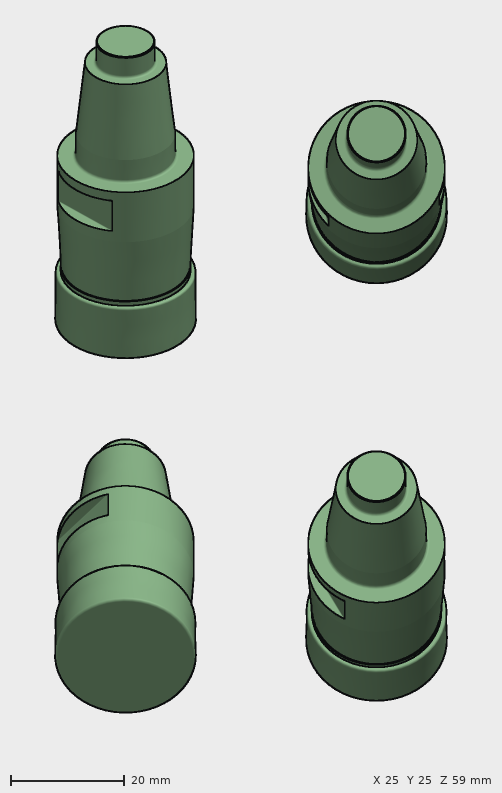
import cadquery as cq

total_height = 59.0

collar_base_radius = 12.48
collar_top_radius = 12.4
collar_height = 10.7
collar_base_rounding = 0.55
collar_top_rounding = 0.4
neck_radius = 11.5
seam_height = 11.55

seam_chamfer = 0.15
skirt_base_radius = 11.45
band_radius = 24.2 / 2
band_base_height = 24.5
band_top_height = 35.0
sleeve_base_radius = 8.85
sleeve_top_radius = 8.8
sleeve_top_height = 39.65
cone_top_radius = 7.2
cone_top_height = 54.6
tip_radius = 10.4 / 2
tip_chamfer = 0.2
step_fillet = 0.55

flat_distance = 10.0
flat_base_height = 26.65
flat_top_height = 33.05
flat_corner_fillet = 0.2


def make_collar():
    profile = (
        cq.Workplane("XZ")
        .moveTo(0, 0)
        .lineTo(collar_base_radius, 0)
        .lineTo(collar_top_radius, collar_height)
        .lineTo(neck_radius, collar_height)
        .lineTo(neck_radius, seam_height)
        .lineTo(0, seam_height)
        .close()
    )
    collar = profile.revolve(360, (0, 0, 0), (0, 1, 0))
    top_rim = cq.selectors.RadiusNthSelector(-2)
    collar = collar.edges("%CIRCLE").edges(top_rim).fillet(collar_top_rounding)
    return collar.faces("<Z").edges().fillet(collar_base_rounding)


def concave_fillet(profile, radius, height):
    """Draw the concave arc from a step face up to the wall of the given radius."""
    return profile.lineTo(radius + step_fillet, height).radiusArc(
        (radius, height + step_fillet), step_fillet
    )


def make_shank_blank():
    profile = (
        cq.Workplane("XZ")
        .moveTo(0, seam_height)
        .lineTo(skirt_base_radius - seam_chamfer, seam_height)
        .lineTo(skirt_base_radius, seam_height + seam_chamfer)
        .lineTo(band_radius, band_base_height)
        .lineTo(band_radius, band_top_height)
    )
    profile = concave_fillet(profile, sleeve_base_radius, band_top_height)
    profile = profile.lineTo(sleeve_top_radius, sleeve_top_height)
    profile = profile.lineTo(cone_top_radius, cone_top_height)
    profile = concave_fillet(profile, tip_radius, cone_top_height)
    profile = (
        profile.lineTo(tip_radius, total_height - tip_chamfer)
        .lineTo(tip_radius - tip_chamfer, total_height)
        .lineTo(0, total_height)
        .close()
    )
    return profile.revolve(360, (0, 0, 0), (0, 1, 0))


def cut_flats(shank):
    flat_height = flat_top_height - flat_base_height
    cutter_width = 2 * band_radius
    cutter_depth = band_radius
    for side in (-1, 1):
        cutter = cq.Workplane("XY").box(
            cutter_width, cutter_depth, flat_height, centered=(True, True, False)
        )
        inner_face = "<Y" if side > 0 else ">Y"
        cutter = cutter.faces(inner_face).edges("|X").fillet(flat_corner_fillet)
        cutter_center = side * (flat_distance + cutter_depth / 2)
        shank = shank.cut(cutter.translate((0, cutter_center, flat_base_height)))
    return shank


collar = make_collar()
shank = cut_flats(make_shank_blank())

result = cq.Compound.makeCompound([collar.val(), shank.val()])